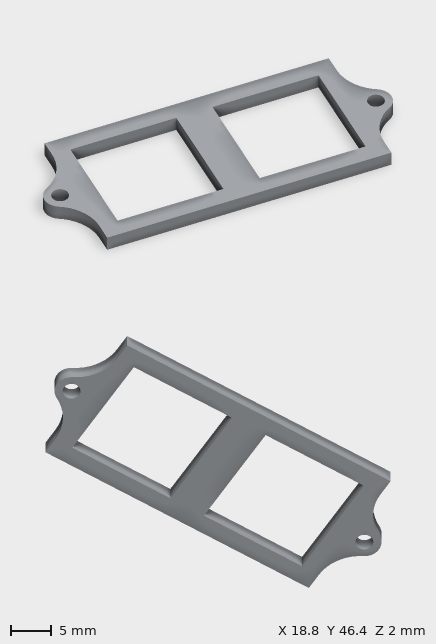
import cadquery as cq
import math

length = 46.4
width = 18.8
thickness = 2.0
frame_length = 38.0

window_size = 14.15
window_pitch = frame_length / 2

ear_radius = 2.1
hole_diameter = 2.2
fillet_start_x = window_size / 2
ear_y = length / 2 - ear_radius
end_y = frame_length / 2

ear_rise = ear_y - end_y
flank_radius = (fillet_start_x**2 + ear_rise**2 - ear_radius**2) / (2 * (ear_radius + ear_rise))
flank_center_y = end_y + flank_radius
flank_angle = math.atan2(flank_center_y - ear_y, fillet_start_x)
tangent_x = ear_radius * math.cos(flank_angle)
tangent_y = ear_y + ear_radius * math.sin(flank_angle)

middle_angle = (math.pi + flank_angle + 1.5 * math.pi) / 2
flank_middle_x = fillet_start_x + flank_radius * math.cos(middle_angle)
flank_middle_y = flank_center_y + flank_radius * math.sin(middle_angle)


def make_ear():
    """Ear on the +Y end, with concave flanks and a round tip."""
    return (
        cq.Workplane("XY")
        .moveTo(-fillet_start_x, end_y)
        .threePointArc((-flank_middle_x, flank_middle_y), (-tangent_x, tangent_y))
        .threePointArc((0, length / 2), (tangent_x, tangent_y))
        .threePointArc((flank_middle_x, flank_middle_y), (fillet_start_x, end_y))
        .lineTo(fillet_start_x, window_pitch / 2 + window_size / 2)
        .lineTo(-fillet_start_x, window_pitch / 2 + window_size / 2)
        .close()
        .extrude(thickness)
    )


frame = cq.Workplane("XY").rect(width, frame_length).extrude(thickness)
ear = make_ear()
plate = frame.union(ear).union(ear.mirror("XZ"))

windows = (
    cq.Workplane("XY")
    .pushPoints([(0, side * window_pitch / 2) for side in (-1, 1)])
    .rect(window_size, window_size)
    .extrude(thickness)
)
holes = (
    cq.Workplane("XY")
    .pushPoints([(0, side * ear_y) for side in (-1, 1)])
    .circle(hole_diameter / 2)
    .extrude(thickness)
)

result = plate.cut(windows).cut(holes)